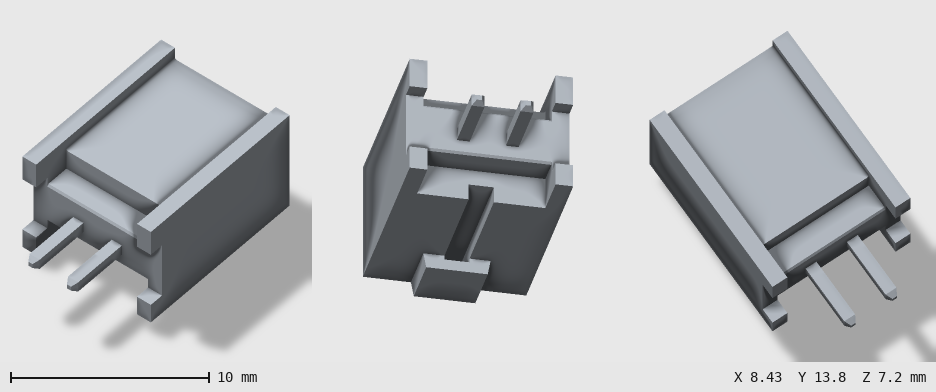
import cadquery as cq

width = 8.43
length = 13.8
height = 6.4
rail_width = 0.91
rail_front = 2.9
wall_front = 3.77
block_front = 5.27
deck_height = 5.6
deck_fillet = 0.12
inner_width = width - 2 * rail_width

notch_bottom = 1.24
notch_top = 4.79
wall_bottom = 1.71
wall_top = 4.32
chamfer_height = 0.12
chamfer_depth = 0.1

pin_pitch = 2.53
pin_width = 0.66
pin_thickness = 0.65
pin_height = 2.8
tip_size = 0.28
tip_length = 0.33

lug_depth = 0.8
lug_length = 2.9
lug_top_width = 3.46
lug_bottom_width = 3.17
slot_width = 1.3
slot_bottom = -0.22
slot_top = 0.87


def box(x_size, y_start, y_end, z_start, z_end):
    """Box centred on X between the given Y and Z limits."""
    return (
        cq.Workplane("XY")
        .box(x_size, y_end - y_start, z_end - z_start, centered=(True, False, False))
        .translate((0, y_start, z_start))
    )


def make_housing():
    body = box(width, rail_front, length, 0, height)

    channel = box(inner_width, rail_front, length, deck_height, height)
    body = body.cut(channel.edges("|Y and <Z").fillet(deck_fillet))

    body = body.cut(box(width, rail_front, wall_front, notch_bottom, notch_top))

    body = body.cut(box(inner_width, rail_front, block_front, 0, height))
    return body.union(make_wall())


def make_wall():
    chamfer_rear = wall_front + chamfer_depth
    return (
        cq.Workplane("YZ")
        .polyline([
            (block_front, wall_bottom),
            (chamfer_rear, wall_bottom),
            (wall_front, wall_bottom + chamfer_height),
            (wall_front, wall_top - chamfer_height),
            (chamfer_rear, wall_top),
            (block_front, wall_top),
        ])
        .close()
        .extrude(inner_width / 2, both=True)
    )


def make_lug():
    top_half = lug_top_width / 2
    bottom_half = lug_bottom_width / 2
    return (
        cq.Workplane("XZ", origin=(0, length, 0))
        .polyline([
            (-top_half, 0),
            (top_half, 0),
            (bottom_half, -lug_depth),
            (-bottom_half, -lug_depth),
        ])
        .close()
        .extrude(lug_length)
    )


def make_pin(x):
    shank = box(pin_width, tip_length, wall_front, -pin_thickness / 2, pin_thickness / 2)
    tip = (
        cq.Workplane("XZ", origin=(0, tip_length, 0))
        .rect(pin_width, pin_thickness)
        .workplane(offset=tip_length)
        .rect(tip_size, tip_size)
        .loft(ruled=True)
    )
    return shank.union(tip).translate((x, 0, pin_height))


result = make_housing().union(make_lug())
result = result.cut(box(slot_width, rail_front, length, slot_bottom, slot_top))
for side in (-1, 1):
    result = result.union(make_pin(side * pin_pitch / 2))